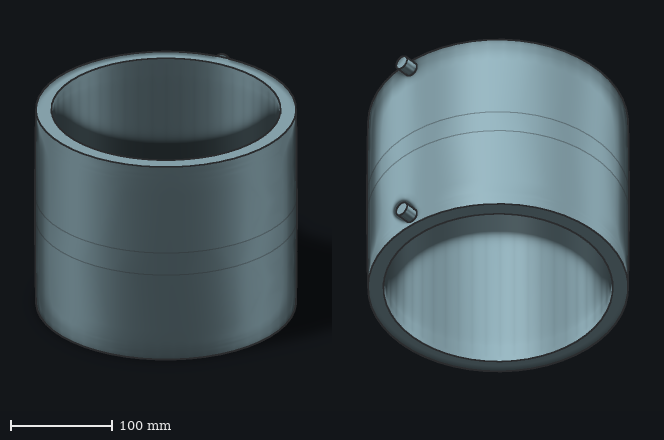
import cadquery as cq
import math

height = 212.0
band_radius = 129.5
end_radius = 128.5
bore_radius = 113.0
band_height = 24.3

pin_diameter = 14.5
pin_tip_y = 143.0
pin_end_offset = 11.7
pin_root_y = (bore_radius + end_radius) / 2


def make_sleeve():
    half_height = height / 2
    half_band = band_height / 2
    flank_length = half_height - half_band
    flank_drop = band_radius - end_radius
    arc_radius = (flank_length**2 + flank_drop**2) / (2 * flank_drop)
    flank_mid_z = half_band + flank_length / 2
    flank_mid_radius = band_radius - arc_radius + math.sqrt(arc_radius**2 - (flank_length / 2) ** 2)
    wall_profile = (
        cq.Workplane("XZ")
        .moveTo(bore_radius, -half_height)
        .lineTo(end_radius, -half_height)
        .threePointArc((flank_mid_radius, -flank_mid_z), (band_radius, -half_band))
        .lineTo(band_radius, half_band)
        .threePointArc((flank_mid_radius, flank_mid_z), (end_radius, half_height))
        .lineTo(bore_radius, half_height)
        .close()
    )
    return wall_profile.revolve(360, (0, 0, 0), (0, 1, 0))


def make_pin(axis_z):
    return (
        cq.Workplane("XZ", origin=(0, pin_root_y, axis_z))
        .circle(pin_diameter / 2)
        .extrude(pin_root_y - pin_tip_y)
    )


result = make_sleeve()
for end in (-1, 1):
    result = result.union(make_pin(end * (height / 2 - pin_end_offset)))